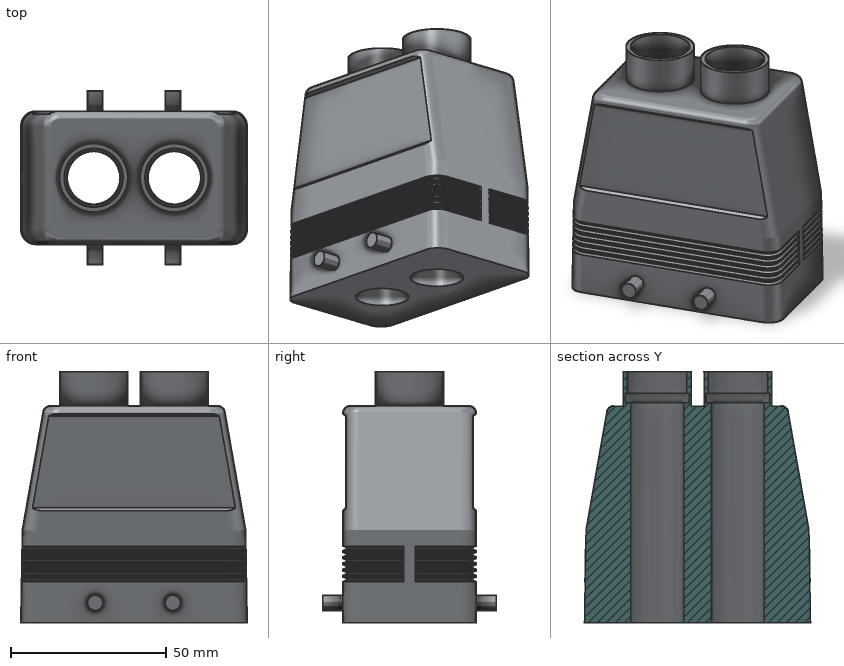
import cadquery as cq
import math

base_length = 73.0
body_width = 43.0
body_height = 70.0
corner_radius = 5.0
top_edge_radius = 2.5

shoulder_height = 30.0
lower_draft_angle = 1.0
upper_draft_angle = 10.0

recess_depth = 1.0
recess_bevel = 0.9
recess_bottom = 36.2
recess_top = body_height - top_edge_radius

groove_count = 6
groove_pitch = 2.0
first_groove_height = 14.05
groove_depth = 1.2
groove_mouth = 1.5
groove_floor = 0.6
groove_gap = 3.7

peg_diameter = 5.0
peg_spacing = 25.0
peg_height = 6.5
peg_span = 56.0

total_height = 81.0
entry_spacing = 26.0
collar_diameter = 22.0
socket_diameter = 19.0
socket_depth = 10.0
relief_diameter = 20.5
relief_width = 3.0
bore_diameter = 17.0


def wall_x(height):
    """Half length of the body, in X, at a given height."""
    lower_run = min(height, shoulder_height) * math.tan(math.radians(lower_draft_angle))
    upper_rise = max(height - shoulder_height, 0)
    upper_run = upper_rise * math.tan(math.radians(upper_draft_angle))
    return base_length / 2 - lower_run - upper_run


def make_body():
    """Tapered block with rounded corners and a rounded roof edge."""
    shoulder_x = wall_x(shoulder_height)
    roof_x = wall_x(body_height)
    outline = [
        (-base_length / 2, 0),
        (base_length / 2, 0),
        (shoulder_x, shoulder_height),
        (roof_x, body_height),
        (-roof_x, body_height),
        (-shoulder_x, shoulder_height),
    ]
    block = cq.Workplane("XZ").polyline(outline).close().extrude(body_width / 2, both=True)
    block = block.faces("<Y or >Y").edges("not |X").fillet(corner_radius)
    return block.faces(">Z").edges().fillet(top_edge_radius)


def cut_face_recesses(body):
    """Lower the upper front and back faces between two bevelled steps."""
    face_y = body_width / 2
    floor_y = face_y - recess_depth
    for side in (-1, 1):
        profile = [
            (side * face_y, recess_bottom),
            (side * floor_y, recess_bottom + recess_bevel),
            (side * floor_y, recess_top - recess_bevel),
            (side * face_y, recess_top),
        ]
        cutter = cq.Workplane("YZ").polyline(profile).close().extrude(base_length / 2, both=True)
        body = body.cut(cutter)
    return body


def make_groove(height):
    """Trapezoidal groove ring that follows the body outline at one height."""
    half_x = wall_x(height)
    half_mouth = groove_mouth / 2
    half_floor = groove_floor / 2

    def core_section(level, inset):
        return (
            cq.Sketch()
            .rect(2 * (half_x - inset), body_width - 2 * inset)
            .vertices()
            .fillet(corner_radius - inset)
            .moved(cq.Location(cq.Vector(0, 0, level)))
        )

    def core_slab(bottom, bottom_inset, top, top_inset):
        sections = (core_section(bottom, bottom_inset), core_section(top, top_inset))
        return cq.Workplane("XY").placeSketch(*sections).loft(ruled=True)

    lower = core_slab(height - half_mouth, 0, height - half_floor, groove_depth)
    middle = core_slab(height - half_floor, groove_depth, height + half_floor, groove_depth)
    upper = core_slab(height + half_floor, groove_depth, height + half_mouth, 0)
    outer = (
        cq.Workplane("XY", origin=(0, 0, height - half_mouth))
        .rect(2 * base_length, 2 * body_width)
        .extrude(groove_mouth)
    )
    return outer.cut(lower).cut(middle).cut(upper)


def cut_grooves(body):
    """Cut the groove stack, leaving a plain bar in the middle of each end wall."""
    gap_bar = cq.Workplane("XY").box(
        2 * base_length, groove_gap, body_height, centered=(True, True, False)
    )
    for index in range(groove_count):
        groove = make_groove(first_groove_height + index * groove_pitch)
        body = body.cut(groove.cut(gap_bar))
    return body


def add_pegs(body):
    """Two round pegs standing out of both the front and back faces."""
    pegs = (
        cq.Workplane("XZ")
        .pushPoints([(-peg_spacing / 2, peg_height), (peg_spacing / 2, peg_height)])
        .circle(peg_diameter / 2)
        .extrude(peg_span / 2, both=True)
    )
    return body.union(pegs)


def add_cable_entries(body):
    """Two collars on the roof, each with a socket, a wider relief at its foot and a through bore."""
    centers = [(-entry_spacing / 2, 0), (entry_spacing / 2, 0)]

    def cylinders(diameter, bottom, top=total_height):
        return (
            cq.Workplane("XY", origin=(0, 0, bottom))
            .pushPoints(centers)
            .circle(diameter / 2)
            .extrude(top - bottom)
        )

    body = body.union(cylinders(collar_diameter, body_height - top_edge_radius))
    socket_floor = total_height - socket_depth
    body = body.cut(cylinders(socket_diameter, socket_floor))
    body = body.cut(cylinders(relief_diameter, socket_floor, socket_floor + relief_width))
    return body.cut(cylinders(bore_diameter, 0))


result = make_body()
result = cut_face_recesses(result)
result = cut_grooves(result)
result = add_pegs(result)
result = add_cable_entries(result)